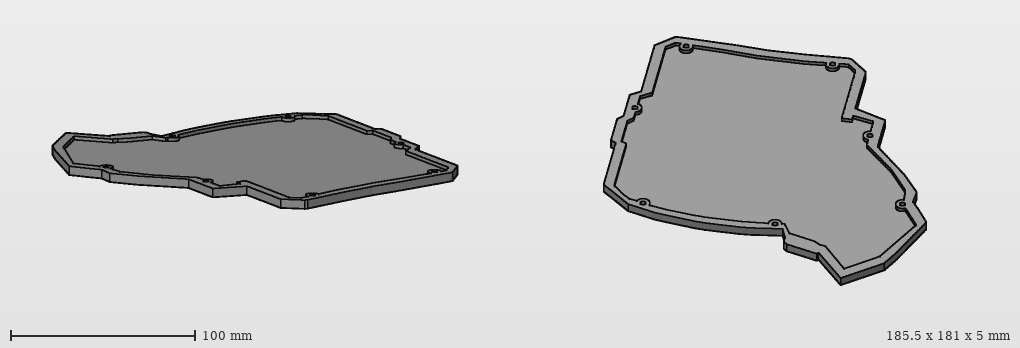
import cadquery as cq

plate_thickness = 5.0
pocket_depth = 2.0
floor_thickness = plate_thickness - pocket_depth

screw_hole_diameter = 3.0
screw_boss_diameter = 7.5

back_edge_y = 178.1
back_step_y = 172.5
back_tab_y = 181.0
front_right_edge_y = 55.7
front_notch_edge_y = 37.8
narrow_rim = 5.8
wide_rim = 6.1

pocket_back_y = back_edge_y - narrow_rim
pocket_step_y = back_step_y - wide_rim
pocket_tab_y = back_tab_y - narrow_rim
pocket_right_y = front_right_edge_y + narrow_rim
pocket_notch_y = front_notch_edge_y + wide_rim

notch_lip_x = 133.8

outer_outline = [
    (55.3, 0.0),
    (65.3, 6.3),
    (71.0, 10.4),
    (79.4, 9.8),
    (92.8, 19.1),
    (113.7, front_notch_edge_y),
    (136.5, front_notch_edge_y),
    (137.5, 40.5),
    (143.5, front_right_edge_y),
    (175.0, front_right_edge_y),
    (184.0, 65.1),
    (184.6, 66.8),
    (183.5, 91.5),
    (183.3, 111.1),
    (184.5, 127.8),
    (185.5, 160.9),
    (185.3, 162.7),
    (176.3, back_step_y),
    (136.4, back_step_y),
    (132.3, back_edge_y),
    (114.1, back_edge_y),
    (111.0, back_tab_y),
    (92.4, back_tab_y),
    (91.0, back_edge_y),
    (54.7, back_edge_y),
    (50.1, 172.5),
    (40.8, 162.0),
    (36.4, 146.4),
    (35.5, 140.6),
    (33.0, 123.4),
    (32.7, 117.8),
    (32.7, 98.9),
    (33.0, 93.1),
    (35.5, 75.7),
    (28.5, 73.1),
    (24.7, 73.1),
    (23.0, 71.2),
    (18.0, 53.6),
    (19.1, 52.9),
    (0.0, 37.1),
    (16.7, 16.1),
    (25.8, 11.7),
]

pocket_outline = [
    (52.0, 5.0),
    (65.1, 13.5),
    (68.0, 15.4),
    (74.2, 15.8),
    (79.8, 16.1),
    (95.7, 26.9),
    (114.1, pocket_notch_y),
    (134.3, pocket_notch_y),
    (137.1, front_right_edge_y),
    (notch_lip_x, front_right_edge_y),
    (notch_lip_x, pocket_right_y),
    (175.0, pocket_right_y),
    (179.5, 66.0),
    (179.5, 68.6),
    (177.7, 89.8),
    (177.7, 116.1),
    (179.5, 136.2),
    (180.5, 160.9),
    (180.5, 161.6),
    (176.0, pocket_step_y),
    (136.4, pocket_step_y),
    (132.3, pocket_back_y),
    (113.5, pocket_back_y),
    (110.2, pocket_tab_y),
    (92.8, pocket_tab_y),
    (91.3, pocket_back_y),
    (55.3, pocket_back_y),
    (48.6, 166.2),
    (45.5, 162.2),
    (44.3, 157.7),
    (41.7, 149.4),
    (39.9, 140.0),
    (38.0, 125.6),
    (37.5, 118.4),
    (37.5, 98.9),
    (38.0, 91.5),
    (38.8, 82.5),
    (39.7, 75.3),
    (32.5, 71.5),
    (28.2, 57.0),
    (25.8, 53.2),
    (25.2, 50.3),
    (8.2, 36.7),
    (21.2, 20.6),
    (22.3, 19.5),
]

screw_points = [
    (43.2, 154.2),
    (122.0, 173.3),
    (178.7, 155.5),
    (178.1, 74.5),
    (122.0, 43.6),
    (67.9, 15.5),
    (38.8, 80.5),
]


def prism(outline, bottom, height):
    return cq.Workplane("XY").workplane(offset=bottom).polyline(outline).close().extrude(height)


def cylinders(diameter, bottom, height):
    plane = cq.Workplane("XY").workplane(offset=bottom)
    return plane.pushPoints(screw_points).circle(diameter / 2).extrude(height)


plate = prism(outer_outline, 0, plate_thickness)
bosses = cylinders(screw_boss_diameter, floor_thickness, pocket_depth)
pocket = prism(pocket_outline, floor_thickness, pocket_depth).cut(bosses)
screw_holes = cylinders(screw_hole_diameter, 0, plate_thickness)

result = plate.cut(pocket).cut(screw_holes)